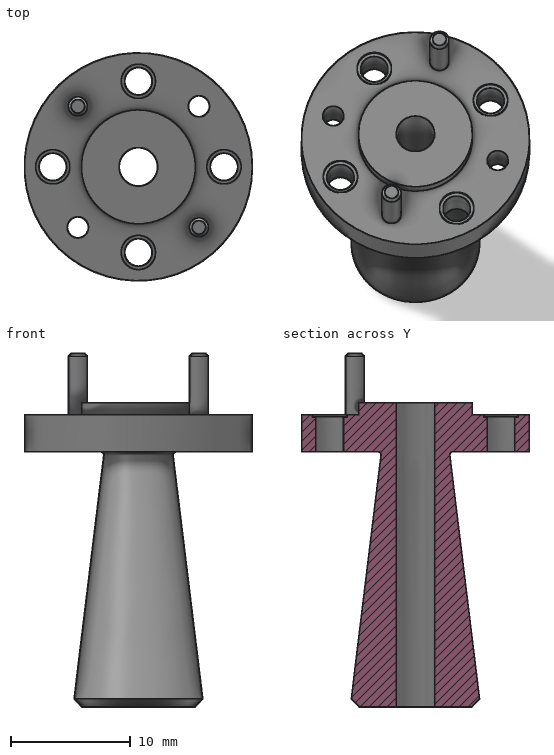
import cadquery as cq

total_height = 29.55
flange_diameter = 19.05
flange_bottom = 21.33
flange_top = 24.43
boss_diameter = 9.5
boss_top = 25.43
bore_diameter = 3.2

rim_radius = 5.38
rim_chamfer_width = 0.68
rim_chamfer_height = 0.7
neck_radius = 2.9
neck_fillet = 0.27

hole_circle_radius = 7.15
screw_hole_diameter = 2.27
counterbore_diameter = 2.87
counterbore_depth = 0.18
dowel_hole_diameter = 1.75
pin_diameter = 1.6
pin_chamfer = 0.25


def make_body():
    """Revolve the horn, flange and raised boss as one profile."""
    flange_radius = flange_diameter / 2
    boss_radius = boss_diameter / 2
    neck_bottom = flange_bottom - neck_fillet
    return (
        cq.Workplane("XZ")
        .lineTo(rim_radius - rim_chamfer_width, 0)
        .lineTo(rim_radius, rim_chamfer_height)
        .lineTo(neck_radius, neck_bottom)
        .radiusArc((neck_radius + neck_fillet, flange_bottom), neck_fillet)
        .lineTo(flange_radius, flange_bottom)
        .lineTo(flange_radius, flange_top)
        .lineTo(boss_radius, flange_top)
        .lineTo(boss_radius, boss_top)
        .lineTo(0, boss_top)
        .close()
        .revolve(360, (0, 0, 0), (0, 1, 0))
    )


def on_hole_circle(start_angle, count, bottom):
    """Workplane at height bottom with evenly spaced points on the hole circle."""
    return (
        cq.Workplane("XY", origin=(0, 0, bottom))
        .polarArray(hole_circle_radius, start_angle, 360, count)
    )


def cylinders(start_angle, count, diameter, bottom, top):
    """Equal upright cylinders spaced around the hole circle."""
    return on_hole_circle(start_angle, count, bottom).circle(diameter / 2).extrude(top - bottom)


def make_pins():
    """Two opposite dowel pins with chamfered tips, rooted in the flange."""
    pins = cylinders(135, 2, pin_diameter, flange_bottom, total_height)
    return pins.faces(">Z").chamfer(pin_chamfer)


bore = cq.Workplane("XY").circle(bore_diameter / 2).extrude(boss_top)
screw_holes = cylinders(0, 4, screw_hole_diameter, flange_bottom, flange_top)
counterbores = cylinders(0, 4, counterbore_diameter, flange_top - counterbore_depth, flange_top)
dowel_holes = cylinders(45, 2, dowel_hole_diameter, flange_bottom, flange_top)

result = (
    make_body()
    .cut(bore)
    .cut(screw_holes)
    .cut(counterbores)
    .cut(dowel_holes)
    .union(make_pins())
)